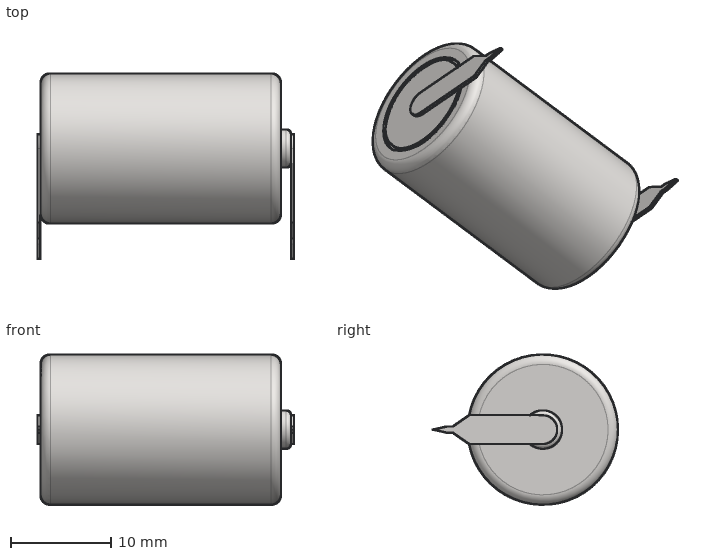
import cadquery as cq

overall_length = 25.6
cell_radius = 7.5
cell_edge_radius = 1.0

button_radius = 1.92
button_height = 1.0
button_edge_radius = 0.49

groove_outer_radius = 5.45
groove_inner_radius = 5.12
groove_depth = 0.3

tag_thickness = 0.3
tag_half_width = 1.43
tag_shoulder = 7.37
neck_half_width = 0.33
neck_start = 8.95
neck_end = 9.52
tag_tip = 11.0

cell_length = overall_length - 2 * tag_thickness - button_height
negative_face = -cell_length / 2
positive_face = cell_length / 2


def cylinder(start_x, radius, length):
    """Solid cylinder on the cell axis, growing toward +X."""
    return cq.Workplane("YZ", origin=(start_x, 0, 0)).circle(radius).extrude(length)


def make_cell():
    return cylinder(negative_face, cell_radius, cell_length).edges("%CIRCLE").fillet(cell_edge_radius)


def make_button():
    button = cylinder(positive_face, button_radius, button_height)
    return button.faces(">X").edges().fillet(button_edge_radius)


def make_groove():
    outer = cylinder(negative_face, groove_outer_radius, groove_depth)
    inner = cylinder(negative_face, groove_inner_radius, groove_depth)
    return outer.cut(inner)


def make_tag(start_x):
    """Round-ended tag that narrows to a neck and a point toward -Y."""
    return (
        cq.Workplane("YZ", origin=(start_x, 0, 0))
        .moveTo(0, tag_half_width)
        .lineTo(-tag_shoulder, tag_half_width)
        .lineTo(-neck_start, neck_half_width)
        .lineTo(-neck_end, neck_half_width)
        .lineTo(-tag_tip, 0)
        .lineTo(-neck_end, -neck_half_width)
        .lineTo(-neck_start, -neck_half_width)
        .lineTo(-tag_shoulder, -tag_half_width)
        .lineTo(0, -tag_half_width)
        .threePointArc((tag_half_width, 0), (0, tag_half_width))
        .close()
        .extrude(tag_thickness)
    )


result = make_cell().cut(make_groove()).union(make_button())
for tag_start in (negative_face - tag_thickness, positive_face + button_height):
    result = result.union(make_tag(tag_start))